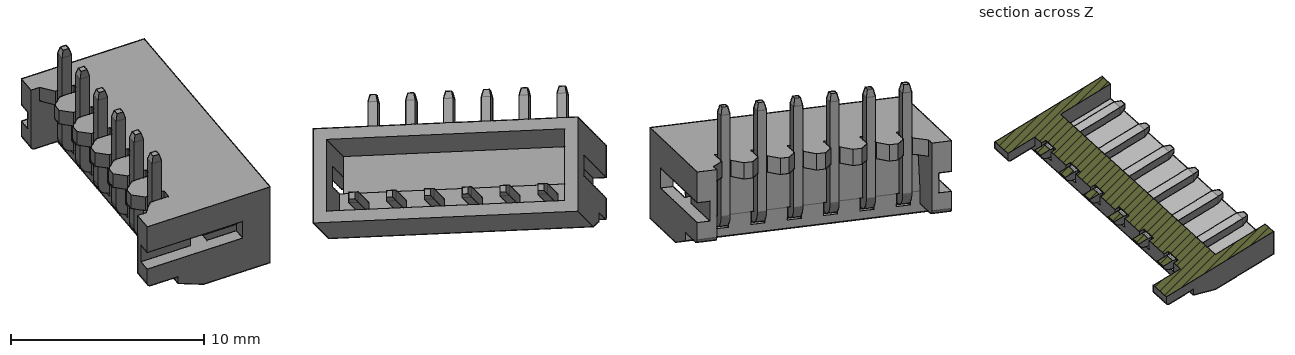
import cadquery as cq


WIDTH = 14.0
DEPTH = 7.2
HEIGHT = 5.0
TOTAL_HEIGHT = 7.9

PIN_COUNT = 6
PITCH = WIDTH / 7
PIN_WIDTH = 0.5
PIN_THICKNESS = 0.56
PIN_BACK_Y = -5.43
PIN_BOTTOM_Z = 1.13
PIN_INNER_RADIUS = 0.22
PIN_TAPER_LENGTH = 0.4
PIN_TIP_SCALE = 0.62
PIN_END_Y = -0.24

WALL_FRONT_Y = -5.39
WALL_SLOPE_BOTTOM_Z = 1.75
POCKET_WIDTH = 0.77
POCKET_DEPTH = 0.3
POCKET_FLOOR_Z = 1.05

RIB_HEIGHT = 0.9
RIB_TIP_Y = -6.69
RIB_TIP_WIDTH = 0.49
RIB_TAPER_Y = -6.12
GUIDE_SLOT_END_Y = -5.03

LEG_WIDTH = 1.08
LEG_BOTTOM_Z = 1.05
LEG_RADIUS = 0.22

CHAMFER_START_Y = -3.9
CHAMFER_HEIGHT = 0.6

SIDE_WALL = 0.7
SLOT_END_Y = -1.61
SLOT_BOTTOM_Z = 2.21
SLOT_TOP_Z = 3.3

CAVITY_BACK_Y = -4.28
LEDGE_FRONT_Y = -3.33
CAVITY_SKIN = 0.6
CAVITY_TOP_Z = HEIGHT - CAVITY_SKIN

RIB_BOTTOM_Z = HEIGHT - RIB_HEIGHT
INNER_HALF_WIDTH = WIDTH / 2 - LEG_WIDTH
PIN_XS = [(i - (PIN_COUNT - 1) / 2) * PITCH for i in range(PIN_COUNT)]


def prism_along_x(points, width):
    """Extrude a closed (y, z) outline, centred on X = 0."""
    return cq.Workplane("YZ").polyline(points).close().extrude(width / 2, both=True)


def block(x_range, y_range, z_range):
    """Box between the given limits."""
    limits = (x_range, y_range, z_range)
    sizes = [high - low for low, high in limits]
    corner = tuple(low for low, _ in limits)
    return cq.Workplane("XY").box(*sizes, centered=False).translate(corner)


def housing_blank():
    outline = [
        (0, 0),
        (CHAMFER_START_Y, 0),
        (WALL_FRONT_Y, CHAMFER_HEIGHT),
        (WALL_FRONT_Y, LEG_BOTTOM_Z),
        (-DEPTH, LEG_BOTTOM_Z),
        (-DEPTH, HEIGHT),
        (0, HEIGHT),
    ]
    body = prism_along_x(outline, WIDTH)
    leg_corner = cq.selectors.NearestToPointSelector((0, -DEPTH, LEG_BOTTOM_Z))
    return body.edges(leg_corner).fillet(LEG_RADIUS)


def front_opening():
    """Space between the legs, below the ribs, with the sloped wall behind it."""
    outline = [
        (-DEPTH, 0),
        (WALL_FRONT_Y, 0),
        (WALL_FRONT_Y, WALL_SLOPE_BOTTOM_Z),
        (GUIDE_SLOT_END_Y, RIB_BOTTOM_Z),
        (-DEPTH, RIB_BOTTOM_Z),
    ]
    return prism_along_x(outline, 2 * INNER_HALF_WIDTH)


def rib_gaps():
    """Space around the rib tips and the pin guide slots."""
    half_slot = PIN_WIDTH / 2
    rib_half_gap = (PITCH - RIB_TIP_WIDTH) / 2
    points = [(-INNER_HALF_WIDTH, -DEPTH)]
    for x in PIN_XS:
        left_tip = -INNER_HALF_WIDTH if x == PIN_XS[0] else x - rib_half_gap
        right_tip = INNER_HALF_WIDTH if x == PIN_XS[-1] else x + rib_half_gap
        points += [
            (left_tip, RIB_TIP_Y),
            (x - half_slot, RIB_TAPER_Y),
            (x - half_slot, GUIDE_SLOT_END_Y),
            (x + half_slot, GUIDE_SLOT_END_Y),
            (x + half_slot, RIB_TAPER_Y),
            (right_tip, RIB_TIP_Y),
        ]
    points.append((INNER_HALF_WIDTH, -DEPTH))
    base = cq.Workplane("XY", origin=(0, 0, RIB_BOTTOM_Z))
    return base.polyline(points).close().extrude(RIB_HEIGHT)


def cavity():
    """Mating cavity with a raised ledge at its back."""
    outline = [
        (0, CAVITY_SKIN),
        (LEDGE_FRONT_Y, CAVITY_SKIN),
        (LEDGE_FRONT_Y, SLOT_BOTTOM_Z),
        (CAVITY_BACK_Y, SLOT_BOTTOM_Z),
        (CAVITY_BACK_Y, CAVITY_TOP_Z),
        (0, CAVITY_TOP_Z),
    ]
    return prism_along_x(outline, WIDTH - 2 * SIDE_WALL)


def side_slot(side):
    inner_x = side * (WIDTH / 2 - SIDE_WALL)
    x_range = sorted((inner_x, side * WIDTH / 2))
    return block(x_range, (-DEPTH, SLOT_END_Y), (SLOT_BOTTOM_Z, SLOT_TOP_Z))


def pin_pocket(x):
    return block(
        (x - POCKET_WIDTH / 2, x + POCKET_WIDTH / 2),
        (WALL_FRONT_Y, WALL_FRONT_Y + POCKET_DEPTH),
        (POCKET_FLOOR_Z, WALL_SLOPE_BOTTOM_Z),
    )


def tapered_tip(plane):
    return (
        cq.Workplane(plane)
        .rect(PIN_WIDTH, PIN_THICKNESS)
        .workplane(offset=PIN_TAPER_LENGTH)
        .rect(PIN_WIDTH * PIN_TIP_SCALE, PIN_THICKNESS * PIN_TIP_SCALE)
        .loft(combine=True)
    )


def pin():
    """L-shaped rectangular pin on X = 0, with both ends tapered."""
    front_y = PIN_BACK_Y - PIN_THICKNESS
    leg_top_z = PIN_BOTTOM_Z + PIN_THICKNESS
    post_top_z = TOTAL_HEIGHT - PIN_TAPER_LENGTH
    leg_end_y = PIN_END_Y - PIN_TAPER_LENGTH
    outer_radius = PIN_INNER_RADIUS + PIN_THICKNESS
    bend_y = PIN_BACK_Y + PIN_INNER_RADIUS
    bend_z = leg_top_z + PIN_INNER_RADIUS
    shaft = (
        cq.Workplane("YZ")
        .moveTo(front_y, post_top_z)
        .lineTo(front_y, bend_z)
        .radiusArc((bend_y, PIN_BOTTOM_Z), -outer_radius)
        .lineTo(leg_end_y, PIN_BOTTOM_Z)
        .lineTo(leg_end_y, leg_top_z)
        .lineTo(bend_y, leg_top_z)
        .radiusArc((PIN_BACK_Y, bend_z), PIN_INNER_RADIUS)
        .lineTo(PIN_BACK_Y, post_top_z)
        .close()
        .extrude(PIN_WIDTH / 2, both=True)
    )
    post_centre = (0, PIN_BACK_Y - PIN_THICKNESS / 2, post_top_z)
    leg_centre = (0, leg_end_y, PIN_BOTTOM_Z + PIN_THICKNESS / 2)
    post_tip = tapered_tip(cq.Plane(origin=post_centre, xDir=(1, 0, 0), normal=(0, 0, 1)))
    leg_tip = tapered_tip(cq.Plane(origin=leg_centre, xDir=(1, 0, 0), normal=(0, 1, 0)))
    return shaft.union(post_tip).union(leg_tip)


result = housing_blank().cut(front_opening()).cut(rib_gaps()).cut(cavity())
for slot_side in (-1, 1):
    result = result.cut(side_slot(slot_side))
for pin_x in PIN_XS:
    result = result.cut(pin_pocket(pin_x))
for pin_x in PIN_XS:
    result = result.union(pin().translate((pin_x, 0, 0)))